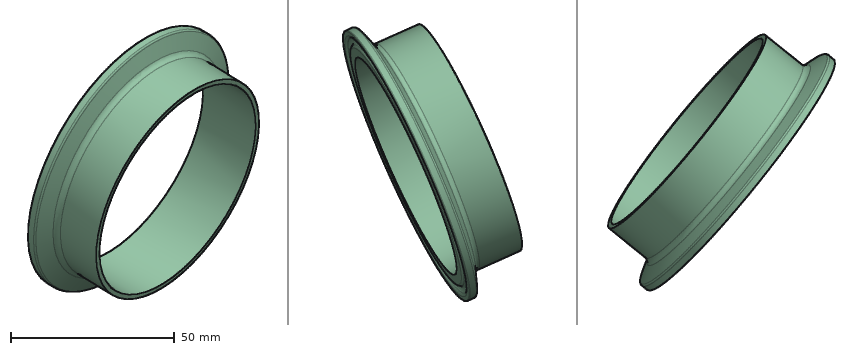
import cadquery as cq
import math


length = 21.5
flange_radius = 45.5
tube_radius = 38.1
bore_radius = 36.5
rim_end = 2.8
taper_angle = 20.0
rim_front_fillet = 0.3
rim_back_fillet = 0.6
neck_fillet = 2.0

groove_outer_radius = 43.9
groove_depth = 1.4
groove_arc = 1.3
outer_lip_arc = 1.0
inner_lip_arc = 0.9


def ring_body():
    """Revolve the tube and tapered flange, then round the flange edges."""
    taper_length = (flange_radius - tube_radius) * math.tan(math.radians(taper_angle))
    neck = rim_end + taper_length
    body = (
        cq.Workplane("XZ")
        .moveTo(0, bore_radius)
        .lineTo(0, flange_radius)
        .lineTo(rim_end, flange_radius)
        .lineTo(neck, tube_radius)
        .lineTo(length, tube_radius)
        .lineTo(length, bore_radius)
        .close()
        .revolve(360, (0, 0), (1, 0))
    )

    def round_circle(solid, x, radius, fillet):
        """Fillet the circular edge of the given radius at the given X."""
        margin = 0.01
        picker = cq.selectors.BoxSelector(
            (x - margin, -radius - margin, -radius - margin),
            (x + margin, radius + margin, radius + margin),
            boundingbox=True,
        )
        edges = solid.edges("%CIRCLE").edges(picker)
        return edges.edges(cq.selectors.RadiusNthSelector(-1)).fillet(fillet)

    body = round_circle(body, neck, tube_radius, neck_fillet)
    body = round_circle(body, rim_end, flange_radius, rim_back_fillet)
    return round_circle(body, 0, flange_radius, rim_front_fillet)


def gasket_groove():
    """Ring of material to remove: a round groove blended into the face by two lips."""
    center_x = groove_depth - groove_arc
    outer_reach = groove_arc + outer_lip_arc
    inner_reach = groove_arc + inner_lip_arc

    outer_angle = math.acos((outer_lip_arc - center_x) / outer_reach)
    inner_angle = math.acos((inner_lip_arc - center_x) / inner_reach)
    center_radius = groove_outer_radius - outer_reach * math.sin(outer_angle)
    inner_radius = center_radius - inner_reach * math.sin(inner_angle)

    def lip_point(lip_arc, lip_radius, angle, side):
        """Point on a lip arc; side is 1 if the arc turns inward, -1 if outward."""
        x = lip_arc * (1 - math.cos(angle))
        return (x, lip_radius - side * lip_arc * math.sin(angle))

    outer_lip = (outer_lip_arc, groove_outer_radius)
    inner_lip = (inner_lip_arc, inner_radius)
    return (
        cq.Workplane("XZ")
        .moveTo(0, groove_outer_radius)
        .threePointArc(
            lip_point(*outer_lip, outer_angle / 2, 1),
            lip_point(*outer_lip, outer_angle, 1),
        )
        .threePointArc(
            (groove_depth, center_radius),
            lip_point(*inner_lip, inner_angle, -1),
        )
        .threePointArc(
            lip_point(*inner_lip, inner_angle / 2, -1),
            (0, inner_radius),
        )
        .close()
        .revolve(360, (0, 0), (1, 0))
    )


result = ring_body().cut(gasket_groove())